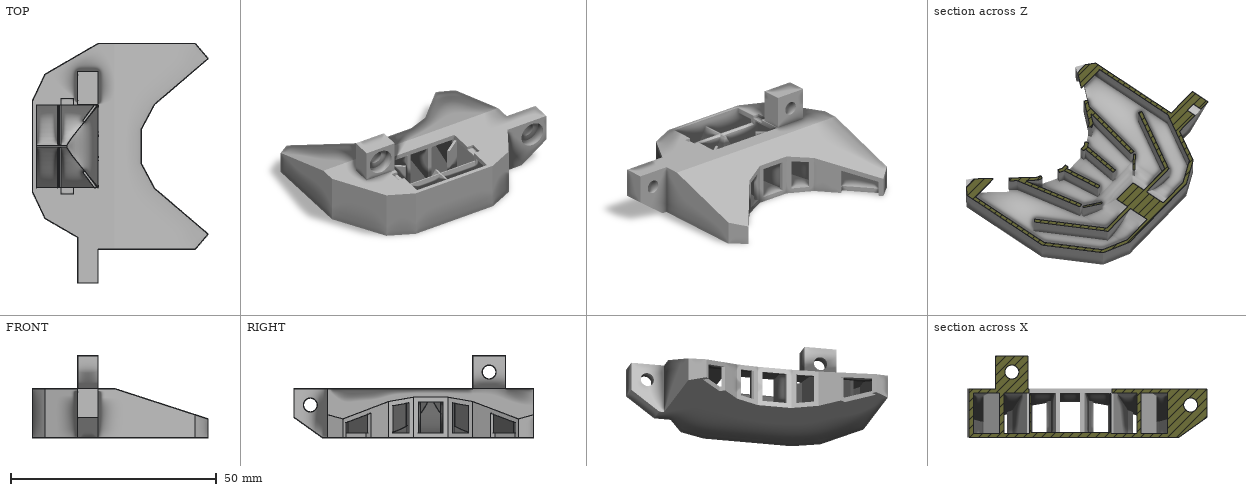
import cadquery as cq
import math

HEIGHT = 12.0
HALF_WIDTH = 25.0
TIP_X, TIP_Y = 42.71, 21.3
THROAT_X, THROAT_Y = 26.5, 4.2
HORN_ROOT_X, HORN_ROOT_Y = 29.7, 10.2
SLOPE_START_X = 20.0
SLOPE_ANGLE = 18.0
WALL = 1.0
PLATE = 1.2

HALF_OUTLINE = [
    (0.0, 11.0),
    (3.07, 17.5),
    (16.0, HALF_WIDTH),
    (39.55, HALF_WIDTH),
    (TIP_X, TIP_Y),
    (HORN_ROOT_X, HORN_ROOT_Y),
    (THROAT_X, THROAT_Y),
]

INLET_X0, INLET_X1 = WALL, 16.0
INLET_HALF = 10.0
SNAP_X0, SNAP_LENGTH = 7.0, 3.0
SNAP_REACH = 1.6
SNAP_DEPTH = 0.8

DIVIDER_TOP = HEIGHT - 2.0
CROSS_X0, CROSS_X1 = 6.1, 7.0
CROSS_HALF = 12.0
CROSS_BEVEL_WIDTH = 0.25
CROSS_BEVEL_HEIGHT = 1.4
CROSS_FRONT_BEVEL = 0.4
RIDGE_WIDTH = 0.4
RIDGE_END_X = 8.4
RAMP_SAG = 1.7
VANE_INNER = (12.5, 6.1)
VANE_OUTER = (15.4, INLET_HALF)
VANE_THICKNESS = 0.6

GUIDE_THICKNESS = 1.0
CENTRE_GUIDE_Y = 2.95
HORN_GUIDE_SLOPE = 0.21
REAR_GUIDE_LENGTH = 18.0

OUTLET_DEPTH = 1.5
OUTLET_MARGIN = 1.2

LUG_X0, LUG_LENGTH = 11.0, 5.0
LUG_SIZE = 8.0
LUG_PITCH = 43.4
LOWER_LUG_Y = -29.2
UPPER_LUG_Y = LOWER_LUG_Y + LUG_PITCH
LUG_ROOT_Y = -21.0
LUG_TAPER_WIDTH, LUG_TAPER_HEIGHT = 7.0, 5.0
SCREW_DIAMETER = 3.3
HEAD_DIAMETER = 6.2
HEAD_DEPTH = 2.4


def box(x0, x1, y0, y1, z0, z1):
    """Block between two opposite corners."""
    return cq.Workplane("XY").box(x1 - x0, y1 - y0, z1 - z0, centered=False).translate((x0, y0, z0))


def outline_points():
    """Closed outline, symmetric about the X axis."""
    return HALF_OUTLINE + [(x, -y) for x, y in reversed(HALF_OUTLINE)]


def below_roof(drop):
    """Everything under the sloping roof, lowered by a vertical distance."""
    fall = (TIP_X - SLOPE_START_X) * math.tan(math.radians(SLOPE_ANGLE))
    top = HEIGHT - drop
    profile = [(0, 0), (TIP_X, 0), (TIP_X, top - fall), (SLOPE_START_X, top), (0, top)]
    return cq.Workplane("XZ").polyline(profile).close().extrude(HALF_WIDTH, both=True)


def upright_wall(start, end, thickness):
    """Straight wall, as high as the cavity, whose centre line joins two plan points."""
    run_x, run_y = end[0] - start[0], end[1] - start[1]
    length = math.hypot(run_x, run_y)
    wall = box(0, length, -thickness / 2, thickness / 2, 0, HEIGHT - PLATE)
    angle = math.degrees(math.atan2(run_y, run_x))
    return wall.rotate((0, 0, 0), (0, 0, 1), angle).translate((start[0], start[1], 0))


def mirrored(shape):
    """Shape together with its mirror image about the XZ plane."""
    return shape.union(shape.mirror("XZ"))


def make_shell():
    """Solid outer form of the duct, without the lugs."""
    return cq.Workplane("XY").polyline(outline_points()).close().extrude(HEIGHT).intersect(below_roof(0))


def make_cavity():
    """Air space left inside the walls, floor and roof."""
    inner = cq.Workplane("XY").workplane(offset=PLATE).polyline(outline_points()).close()
    return inner.offset2D(-WALL, "intersection").extrude(HEIGHT).intersect(below_roof(PLATE))


def ramp_midpoint(start, end):
    """Middle of a concave ramp that falls from start to end and sags below the chord."""
    run, drop = end[0] - start[0], end[1] - start[1]
    chord = math.hypot(run, drop)
    mid_x, mid_z = (start[0] + end[0]) / 2, (start[1] + end[1]) / 2
    side = math.copysign(RAMP_SAG, run)
    return mid_x + side * drop / chord, mid_z - abs(run) / chord * RAMP_SAG


def make_deflector():
    """Hipped block that turns the incoming air to both sides and to the front."""
    ridge = RIDGE_WIDTH / 2
    left_top, right_top = (-ridge, DIVIDER_TOP), (ridge, DIVIDER_TOP)
    left_foot, right_foot = (-INLET_HALF, PLATE), (INLET_HALF, PLATE)
    sideways = (
        cq.Workplane("YZ")
        .moveTo(-INLET_HALF, 0)
        .lineTo(*left_foot)
        .threePointArc(ramp_midpoint(left_top, left_foot), left_top)
        .lineTo(*right_top)
        .threePointArc(ramp_midpoint(right_top, right_foot), right_foot)
        .lineTo(INLET_HALF, 0)
        .close()
        .extrude(INLET_X1)
    )
    front_top, front_foot = (RIDGE_END_X, DIVIDER_TOP), (INLET_X1, PLATE)
    forward = (
        cq.Workplane("XZ")
        .moveTo(0, 0)
        .lineTo(0, DIVIDER_TOP)
        .lineTo(*front_top)
        .threePointArc(ramp_midpoint(front_top, front_foot), front_foot)
        .lineTo(INLET_X1, 0)
        .close()
        .extrude(INLET_HALF, both=True)
    )
    return sideways.intersect(forward)


def make_cross_divider():
    """Wall along Y across the inlet, its top bevelled steeply at the back and evenly at the front."""
    profile = [
        (CROSS_X0, 0),
        (CROSS_X1, 0),
        (CROSS_X1, DIVIDER_TOP - CROSS_FRONT_BEVEL),
        (CROSS_X1 - CROSS_FRONT_BEVEL, DIVIDER_TOP),
        (CROSS_X0 + CROSS_BEVEL_WIDTH, DIVIDER_TOP),
        (CROSS_X0, DIVIDER_TOP - CROSS_BEVEL_HEIGHT),
    ]
    divider = cq.Workplane("XZ").polyline(profile).close().extrude(CROSS_HALF, both=True)
    return divider.union(mirrored(box(CROSS_X0, CROSS_X1, INLET_HALF, CROSS_HALF, 0, HEIGHT - PLATE)))


def horn_guide_end():
    """Point where the horn guide, starting at the inlet corner, meets the inner face of the horn."""
    face_slope = (TIP_Y - HORN_ROOT_Y) / (TIP_X - HORN_ROOT_X)
    y_at_root = INLET_HALF + HORN_GUIDE_SLOPE * (HORN_ROOT_X - INLET_X1)
    beyond_root = (y_at_root - HORN_ROOT_Y) / (face_slope - HORN_GUIDE_SLOPE)
    return HORN_ROOT_X + beyond_root, y_at_root + HORN_GUIDE_SLOPE * beyond_root


def rear_guide_ends():
    """Plan line parallel to the rear slanted side, from the end of the cross divider."""
    (x0, y0), (x1, y1) = HALF_OUTLINE[1], HALF_OUTLINE[2]
    side_length = math.hypot(x1 - x0, y1 - y0)
    start = ((CROSS_X0 + CROSS_X1) / 2, CROSS_HALF - GUIDE_THICKNESS / 2)
    end = (
        start[0] + (x1 - x0) / side_length * REAR_GUIDE_LENGTH,
        start[1] + (y1 - y0) / side_length * REAR_GUIDE_LENGTH,
    )
    return start, end


def make_guides():
    """Corner vanes and the walls that split the flow between the outlets."""
    vane = upright_wall(VANE_OUTER, VANE_INNER, VANE_THICKNESS)
    horn = upright_wall((INLET_X1, INLET_HALF), horn_guide_end(), GUIDE_THICKNESS)
    centre = upright_wall((INLET_X1, CENTRE_GUIDE_Y), (THROAT_X, THROAT_Y), GUIDE_THICKNESS)
    rear = upright_wall(*rear_guide_ends(), GUIDE_THICKNESS)
    return mirrored(vane.union(horn).union(centre).union(rear))


def outlet_slot(start, end):
    """Slot through the wall between two plan points, with a margin left at both ends."""
    run_x, run_y = end[0] - start[0], end[1] - start[1]
    share = OUTLET_MARGIN / math.hypot(run_x, run_y)
    inner_start = (start[0] + run_x * share, start[1] + run_y * share)
    inner_end = (end[0] - run_x * share, end[1] - run_y * share)
    return upright_wall(inner_start, inner_end, 2 * OUTLET_DEPTH).intersect(below_roof(PLATE))


def make_outlets():
    """Horn outlets, open at the bottom, and throat outlets that stop at the floor."""
    horn = outlet_slot(horn_guide_end(), (TIP_X, TIP_Y))
    side = outlet_slot((THROAT_X, THROAT_Y), (HORN_ROOT_X, HORN_ROOT_Y))
    centre = outlet_slot((THROAT_X, -THROAT_Y), (THROAT_X, THROAT_Y))
    above_floor = box(0, TIP_X, -HALF_WIDTH, HALF_WIDTH, PLATE, HEIGHT)
    return mirrored(horn).union(mirrored(side).union(centre).intersect(above_floor))


def make_inlet():
    """Rectangular inlet with a shallow snap notch at both ends."""
    inlet = box(INLET_X0, INLET_X1, -INLET_HALF, INLET_HALF, PLATE, HEIGHT)
    snap_half = INLET_HALF + SNAP_REACH
    snaps = box(SNAP_X0, SNAP_X0 + SNAP_LENGTH, -snap_half, snap_half, HEIGHT - SNAP_DEPTH, HEIGHT)
    return inlet.union(snaps)


def make_lower_lug():
    """Lug level with the roof, tapered underneath."""
    outer_y = LOWER_LUG_Y - LUG_SIZE / 2
    profile = [
        (LUG_ROOT_Y, 0),
        (outer_y + LUG_TAPER_WIDTH, 0),
        (outer_y, LUG_TAPER_HEIGHT),
        (outer_y, HEIGHT),
        (LUG_ROOT_Y, HEIGHT),
    ]
    lug = cq.Workplane("YZ").polyline(profile).close().extrude(LUG_LENGTH)
    return lug.translate((LUG_X0, 0, 0))


def make_upper_lug():
    """Square lug standing on the roof."""
    half = LUG_SIZE / 2
    lug_end = LUG_X0 + LUG_LENGTH
    return box(LUG_X0, lug_end, UPPER_LUG_Y - half, UPPER_LUG_Y + half, HEIGHT, HEIGHT + LUG_SIZE)


def screw_hole(y, z):
    """Through hole along X with a counterbore at the back."""
    back = cq.Workplane("YZ").workplane(offset=LUG_X0).center(y, z)
    shank = back.circle(SCREW_DIAMETER / 2).extrude(LUG_LENGTH)
    return shank.union(back.circle(HEAD_DIAMETER / 2).extrude(HEAD_DEPTH))


shell = make_shell()
cavity = make_cavity()
inlet = make_inlet()
ridge_wall = box(0, RIDGE_END_X, -RIDGE_WIDTH / 2, RIDGE_WIDTH / 2, 0, DIVIDER_TOP)
inner_parts = make_deflector().union(ridge_wall).union(make_cross_divider()).union(make_guides())

body = shell.union(make_lower_lug()).union(make_upper_lug())
body = body.cut(cavity).cut(inlet)
body = body.union(inner_parts.intersect(shell.intersect(cavity.union(inlet))))
body = body.cut(make_outlets())
body = body.cut(screw_hole(LOWER_LUG_Y, HEIGHT - LUG_SIZE / 2))
result = body.cut(screw_hole(UPPER_LUG_Y, HEIGHT + LUG_SIZE / 2))